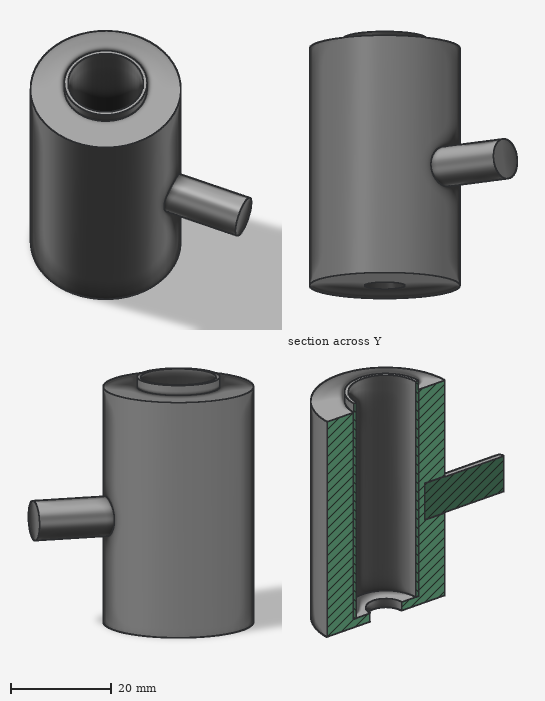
import cadquery as cq

total_height = 50.0
housing_diameter = 30.0
sleeve_projection = 2.0
housing_height = total_height - sleeve_projection

sleeve_diameter = 16.5
sleeve_bore_diameter = 15.0
floor_thickness = 2.0

passage_diameter = 8.0

stem_diameter = 8.0
stem_inner_x = 10.0
stem_outer_x = 30.0
stem_axis_height = 22.5


def upright_cylinder(diameter, bottom, top):
    """Cylinder on the Z axis between two heights."""
    return cq.Workplane("XY").workplane(offset=bottom).circle(diameter / 2).extrude(top - bottom)


def make_sleeve():
    """Tube that rests on the housing floor and ends above the housing top."""
    tube = upright_cylinder(sleeve_diameter, floor_thickness, total_height)
    bore = upright_cylinder(sleeve_bore_diameter, floor_thickness, total_height)
    return tube.cut(bore)


def make_stem():
    """Horizontal bar with flat ends."""
    return (
        cq.Workplane("YZ")
        .workplane(offset=stem_inner_x)
        .center(0, stem_axis_height)
        .circle(stem_diameter / 2)
        .extrude(stem_outer_x - stem_inner_x)
    )


def make_housing():
    """Cylinder with a sleeve recess, a passage through the floor and a side seat for the stem."""
    body = upright_cylinder(housing_diameter, 0, housing_height)
    sleeve_recess = upright_cylinder(sleeve_diameter, floor_thickness, housing_height)
    passage = upright_cylinder(passage_diameter, 0, floor_thickness)
    stem_seat = make_stem()
    return body.cut(sleeve_recess).cut(passage).cut(stem_seat)


housing = make_housing()
sleeve = make_sleeve()
stem = make_stem()

result = cq.Compound.makeCompound([housing.val(), sleeve.val(), stem.val()])